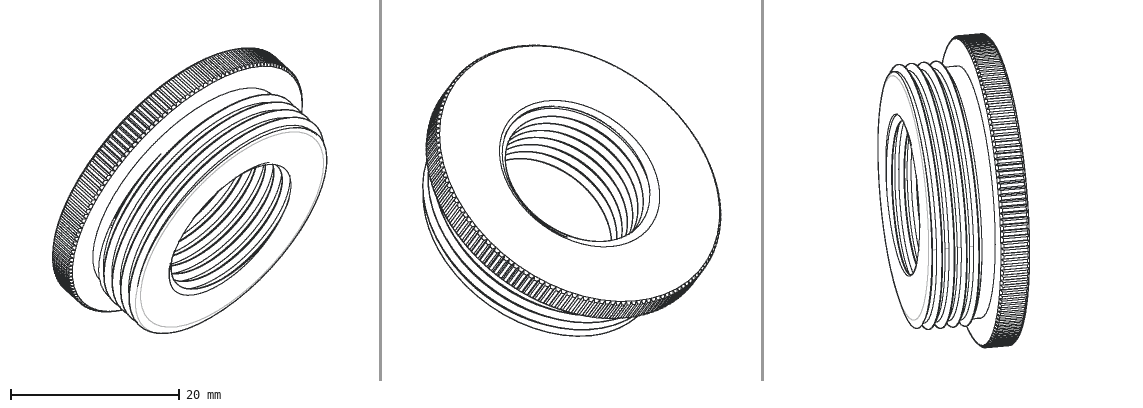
import cadquery as cq
import math

total_length = 11.5
flange_length = 3.5
flange_radius = 37.26 / 2
flange_chamfer = 0.3
rim_radius = flange_radius - flange_chamfer

knurl_count = 160
knurl_depth = 0.28
knurl_groove_angle = 60
first_groove_angle = 0.715

pitch = 1.5
thread_depth = 0.8
flank_angle = 30
crest_width = pitch / 16
flank_width = thread_depth * math.tan(math.radians(flank_angle))

spigot_radius = 30.15 / 2
crest_radius = spigot_radius + thread_depth
neck_end = 5.1
outer_helix_start = 4.125
end_chamfer_length = 0.4
end_face_radius = 14.6

groove_root_radius = 10.0
bore_radius = groove_root_radius - thread_depth
groove_root_width = pitch - crest_width - 2 * flank_width
inner_helix_start = 0.06
inner_start_angle = 278.7
mouth_radius = 10.5
mouth_chamfer_depth = (mouth_radius - bore_radius) * math.tan(math.radians(flank_angle))

overlap = 0.05


def cylinder(radius, start, end):
    return cq.Workplane("YZ").workplane(offset=start).circle(radius).extrude(end - start)


def revolve_about_x(outline):
    """Solid of revolution about X from (x, radius) points."""
    return cq.Workplane("XY").polyline(outline).close().revolve(360, (0, 0, 0), (1, 0, 0))


def helical_ridge(base_radius, tip_radius, tip_width, start_x, start_angle):
    """Ridge around X from start_x to past the end of the part, narrowing from base to tip.

    start_angle is measured about X from +Y towards +Z.
    """
    turns = math.ceil((total_length - start_x) / pitch) + 1
    half_tip = tip_width / 2
    half_base = half_tip + (tip_radius - base_radius) * math.tan(math.radians(flank_angle))
    profile = [
        (base_radius, -half_base),
        (tip_radius, -half_tip),
        (tip_radius, half_tip),
        (base_radius, half_base),
    ]
    helix = cq.Wire.makeHelix(pitch, turns * pitch, base_radius)
    ridge = cq.Workplane("XZ").polyline(profile).close().sweep(cq.Workplane(obj=helix), isFrenet=True)
    ridge = ridge.rotate((0, 0, 0), (1, 1, 1), 120)
    return ridge.rotate((0, 0, 0), (1, 0, 0), start_angle).translate((start_x, 0, 0))


def make_flange():
    """Knurled disc with chamfered rims."""
    blank = revolve_about_x(
        [
            (0, 0),
            (0, rim_radius),
            (flange_chamfer, flange_radius),
            (flange_length - flange_chamfer, flange_radius),
            (flange_length, rim_radius),
            (flange_length, 0),
        ]
    )
    groove_half_width = knurl_depth * math.tan(math.radians(knurl_groove_angle / 2))
    groove_half_angle = math.degrees(groove_half_width / flange_radius)
    outline = []
    for i in range(knurl_count):
        middle = first_groove_angle + i * 360 / knurl_count
        for radius, angle in (
            (flange_radius, middle - groove_half_angle),
            (flange_radius - knurl_depth, middle),
            (flange_radius, middle + groove_half_angle),
        ):
            turn = math.radians(angle)
            outline.append((radius * math.cos(turn), radius * math.sin(turn)))
    knurled_bar = cq.Workplane("YZ").polyline(outline).close().extrude(flange_length)
    return knurled_bar.intersect(blank, clean=False)


def make_spigot():
    """Cylinder with the outer thread, chamfered at its free end."""
    ridge = helical_ridge(spigot_radius - overlap, crest_radius, crest_width, outer_helix_start, 0)
    ridge = ridge.intersect(cylinder(flange_radius, neck_end, total_length))
    spigot = cylinder(spigot_radius, flange_length, total_length).union(ridge, clean=False)
    slope = (crest_radius - end_face_radius) / end_chamfer_length
    reach = 2 * end_chamfer_length
    trim = revolve_about_x(
        [
            (total_length - reach, end_face_radius + slope * reach),
            (total_length + reach, end_face_radius + slope * reach),
            (total_length + reach, end_face_radius - slope * reach),
        ]
    )
    return spigot.cut(trim, clean=False)


def cut_bore(body):
    """Smooth bore, then the inner thread, then the chamfer at the mouth."""
    groove = helical_ridge(
        bore_radius - overlap,
        groove_root_radius,
        groove_root_width,
        inner_helix_start,
        inner_start_angle,
    )
    groove = groove.intersect(cylinder(flange_radius, -pitch, total_length))
    mouth = revolve_about_x(
        [
            (0, 0),
            (0, mouth_radius),
            (mouth_chamfer_depth, bore_radius),
            (mouth_chamfer_depth, 0),
        ]
    )
    body = body.cut(cylinder(bore_radius, 0, total_length), clean=False)
    return body.cut(groove, clean=False).cut(mouth, clean=False)


def join_rim(core, flange):
    """Add the knurled rim to a core whose disc ends at the rim radius.

    The rim and the core share only that cylinder, so the rim's faces are sewn on directly.
    """
    rim = flange.cut(cylinder(rim_radius, 0, flange_length), clean=False)

    def on_shared_cylinder(face):
        box = face.BoundingBox()
        spans_flange = abs(box.xmin) < overlap and abs(box.xmax - flange_length) < overlap
        return face.geomType() == "CYLINDER" and spans_flange and abs(box.ymax - rim_radius) < overlap

    faces = [
        face
        for part in (core, rim)
        for face in part.faces().vals()
        if not on_shared_cylinder(face)
    ]
    return cq.Workplane(obj=cq.Solid.makeSolid(cq.Shell.makeShell(faces)))


core_blank = make_spigot().union(cylinder(rim_radius, 0, flange_length), clean=False)
result = join_rim(cut_bore(core_blank), make_flange())